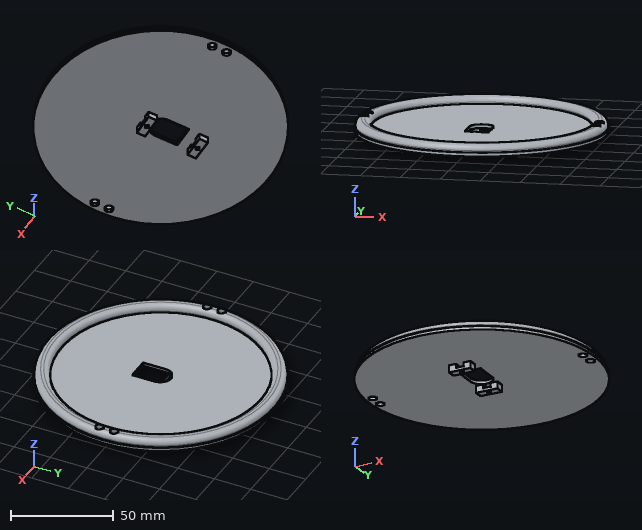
import cadquery as cq

plate_diameter = 125.0
plate_thickness = 2.0

ring_outer_diameter = 124.1
ring_inner_diameter = 108.5
ring_height = 4.0
ring_edge_radius = 3.1

cord_hole_diameter = 4.2
cord_hole_spacing_x = 116.1
cord_hole_spacing_y = 8.0

window_width = 11.8
window_bottom_y = -12.6
window_top_y = 5.5
window_arch_radius = window_width / 2
window_arch_center_y = window_top_y - window_arch_radius

lug_width = window_width
lug_length = 4.8
lug_height = 3.8
lug_centers_y = (7.8, -20.9)
notch_width = 4.2
notch_depth = 2.0
lug_hole_diameter = 2.0


def make_cord_hole_cutters():
    """Four upright cylinders, tall enough to pass through the plate and the ring."""
    return (
        cq.Workplane("XY")
        .rarray(cord_hole_spacing_x, cord_hole_spacing_y, 2, 2)
        .circle(cord_hole_diameter / 2)
        .extrude(plate_thickness + ring_height)
    )


def make_window_cutter():
    """Square-bottomed opening closed by a half-round arch."""
    half_width = window_width / 2
    return (
        cq.Workplane("XY")
        .moveTo(-half_width, window_bottom_y)
        .lineTo(half_width, window_bottom_y)
        .lineTo(half_width, window_arch_center_y)
        .threePointArc((0, window_top_y), (-half_width, window_arch_center_y))
        .close()
        .extrude(plate_thickness)
    )


def make_lug(center_y):
    """Block hanging below the plate, with a notch along Y and an upright hole in its floor."""
    block = cq.Workplane("XY").center(0, center_y).rect(lug_width, lug_length).extrude(-lug_height)
    notch = cq.Workplane("XY").center(0, center_y).rect(notch_width, lug_length).extrude(-notch_depth)
    hole = cq.Workplane("XY").center(0, center_y).circle(lug_hole_diameter / 2).extrude(-lug_height)
    return block.cut(notch).cut(hole)


def make_plate():
    """Flat disc with its window, cord holes and lugs."""
    disc = cq.Workplane("XY").circle(plate_diameter / 2).extrude(plate_thickness)
    disc = disc.cut(make_window_cutter()).cut(make_cord_hole_cutters())
    for center_y in lug_centers_y:
        disc = disc.union(make_lug(center_y))
    return disc


def make_ring():
    """Ring with both top edges rounded, drilled in line with the plate."""
    ring = (
        cq.Workplane("XY", origin=(0, 0, plate_thickness))
        .circle(ring_outer_diameter / 2)
        .circle(ring_inner_diameter / 2)
        .extrude(ring_height)
        .faces(">Z")
        .edges()
        .fillet(ring_edge_radius)
    )
    return ring.cut(make_cord_hole_cutters())


plate = make_plate()
ring = make_ring()

result = cq.Compound.makeCompound([plate.val(), ring.val()])